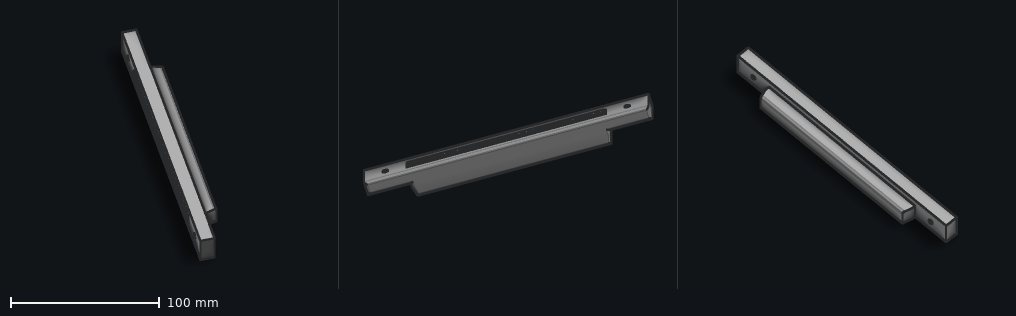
import cadquery as cq

bar_length = 200.0
bar_depth = 10.0
bar_height = 20.0
bottom_fillet = 2.0

block_half_length = 70.0
block_depth = 10.0
block_height = 13.6
block_root_depth = 3.0
block_end_taper = 2.0
block_top_fillet = 2.0

strip_length = 2 * block_half_length
strip_height = 6.2
strip_projection = 1.0
strip_slope_inset = 1.0
strip_center_height = bar_height / 2

hole_diameter = 3.5
hole_end_distance = 15.0


def make_bar():
    return cq.Workplane("XY").box(bar_length, bar_depth, bar_height, centered=(True, False, False))


def make_block():
    """Block with its plan outline mirrored about X = 0."""
    taper_start = bar_depth + block_root_depth
    block_back = bar_depth + block_depth
    back_half_length = block_half_length - block_end_taper
    outline = [
        (-block_half_length, bar_depth),
        (block_half_length, bar_depth),
        (block_half_length, taper_start),
        (back_half_length, block_back),
        (-back_half_length, block_back),
        (-block_half_length, taper_start),
    ]
    block = cq.Workplane("XY").polyline(outline).close().extrude(block_height)
    return block.faces(">Y").edges(">Z").fillet(block_top_fillet)


def make_strip():
    """Frustum whose base lies on the front face of the bar."""
    top_length = strip_length - 2 * strip_slope_inset
    top_height = strip_height - 2 * strip_slope_inset
    return (
        cq.Workplane("XZ", origin=(0, 0, strip_center_height))
        .rect(strip_length, strip_height)
        .workplane(offset=strip_projection)
        .rect(top_length, top_height)
        .loft(ruled=True)
    )


def make_holes():
    hole_x = bar_length / 2 - hole_end_distance
    return (
        cq.Workplane("XZ", origin=(0, 0, bar_height / 2))
        .pushPoints([(-hole_x, 0), (hole_x, 0)])
        .circle(hole_diameter / 2)
        .extrude(-bar_depth)
    )


body = make_bar().union(make_block())
body = body.faces("<Z").edges().fillet(bottom_fillet)
result = body.union(make_strip()).cut(make_holes())